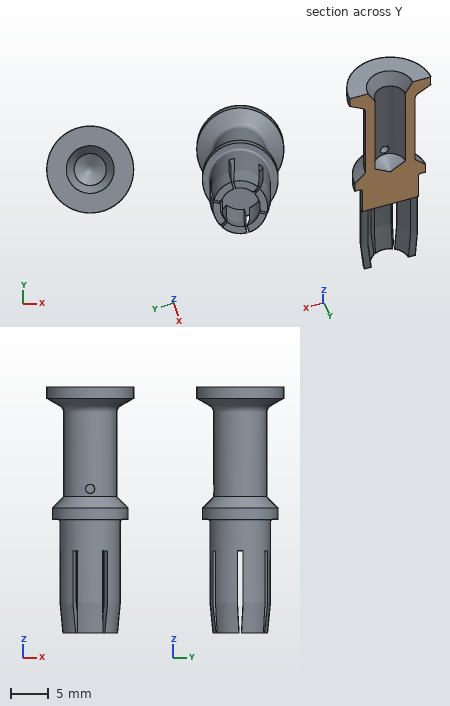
import cadquery as cq
import math

total_height = 32.5
head_radius = 5.75
head_thickness = 1.5
head_cone_angle = math.radians(30)
head_fillet = 1.0

shank_radius = 3.5
collar_radius = 5.0
collar_bottom = 15.0
collar_thickness = 1.5
collar_fillet = 0.3

sleeve_radius = 4.0
sleeve_wall = 0.98
tip_height = 4.0
tip_inset = 0.4
slot_count = 6
slot_width = 0.7
slot_tip_width = 0.3
slot_height = 10.85

socket_radius = 2.1
socket_mouth_radius = 3.15
countersink_angle = math.radians(60)
socket_bottom = 18.2
drill_point_angle = math.radians(118)
side_hole_diameter = 1.2
side_hole_height = 19.05


def make_body():
    """Revolve the outer outline, with the sleeve tip at Z = 0."""
    collar_top = collar_bottom + collar_thickness
    collar_cone_top = collar_top + collar_radius - shank_radius
    head_bottom = total_height - head_thickness

    fillet_center_x = shank_radius + head_fillet
    fillet_top_x = fillet_center_x - head_fillet * math.sin(head_cone_angle)
    fillet_top_z = head_bottom - (head_radius - fillet_top_x) * math.tan(head_cone_angle)
    fillet_center_z = fillet_top_z - head_fillet * math.cos(head_cone_angle)
    half_sweep = (math.pi / 2 - head_cone_angle) / 2
    fillet_middle = (
        fillet_center_x - head_fillet * math.cos(half_sweep),
        fillet_center_z + head_fillet * math.sin(half_sweep),
    )

    quarter_offset = collar_fillet * (1 - math.cos(math.pi / 4))
    collar_fillet_middle = (sleeve_radius + quarter_offset, collar_bottom - quarter_offset)

    return (
        cq.Workplane("XZ")
        .lineTo(sleeve_radius - tip_inset, 0)
        .lineTo(sleeve_radius, tip_height)
        .lineTo(sleeve_radius, collar_bottom - collar_fillet)
        .threePointArc(collar_fillet_middle, (sleeve_radius + collar_fillet, collar_bottom))
        .lineTo(collar_radius, collar_bottom)
        .lineTo(collar_radius, collar_top)
        .lineTo(shank_radius, collar_cone_top)
        .lineTo(shank_radius, fillet_center_z)
        .threePointArc(fillet_middle, (fillet_top_x, fillet_top_z))
        .lineTo(head_radius, head_bottom)
        .lineTo(head_radius, total_height)
        .lineTo(0, total_height)
        .close()
        .revolve(360, (0, 0, 0), (0, 1, 0))
    )


def make_socket():
    """Countersunk blind hole with a conical drill point."""
    point_depth = socket_radius / math.tan(drill_point_angle / 2)
    mouth_depth = (socket_mouth_radius - socket_radius) / math.tan(countersink_angle / 2)
    return (
        cq.Workplane("XZ")
        .moveTo(0, socket_bottom - point_depth)
        .lineTo(socket_radius, socket_bottom)
        .lineTo(socket_radius, total_height - mouth_depth)
        .lineTo(socket_mouth_radius, total_height)
        .lineTo(0, total_height)
        .close()
        .revolve(360, (0, 0, 0), (0, 1, 0))
    )


def make_sleeve_bore():
    """Bore that keeps an even wall and ends level with the slots."""
    bore_radius = sleeve_radius - sleeve_wall
    return (
        cq.Workplane("XZ")
        .lineTo(bore_radius - tip_inset, 0)
        .lineTo(bore_radius, tip_height)
        .lineTo(bore_radius, slot_height)
        .lineTo(0, slot_height)
        .close()
        .revolve(360, (0, 0, 0), (0, 1, 0))
    )


def make_slot(angle):
    """Radial slot along +X that narrows toward the tip, turned about Z."""
    half_width = slot_width / 2
    half_tip_width = slot_tip_width / 2
    outline = [
        (-half_tip_width, 0),
        (half_tip_width, 0),
        (half_width, tip_height),
        (half_width, slot_height),
        (-half_width, slot_height),
        (-half_width, tip_height),
    ]
    slot = cq.Workplane("YZ").polyline(outline).close().extrude(collar_radius)
    return slot.rotate((0, 0, 0), (0, 0, 1), angle)


def make_side_hole():
    """Hole from the -Y side into the socket."""
    return (
        cq.Workplane("XZ")
        .center(0, side_hole_height)
        .circle(side_hole_diameter / 2)
        .extrude(collar_radius)
    )


result = make_body().cut(make_socket()).cut(make_sleeve_bore()).cut(make_side_hole())
for index in range(slot_count):
    result = result.cut(make_slot(index * 360 / slot_count))